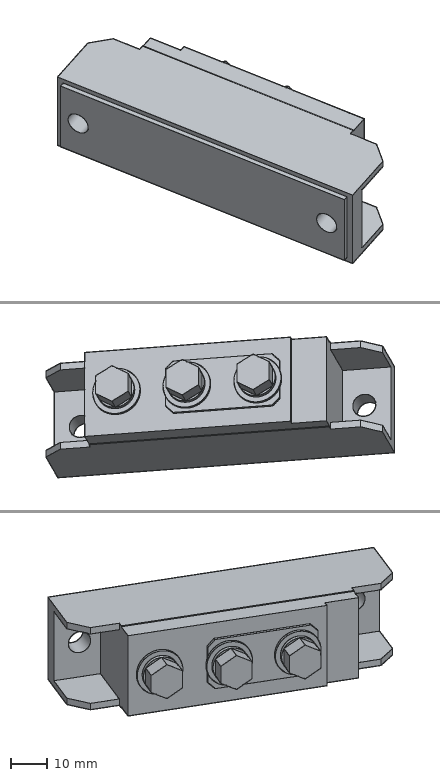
import cadquery as cq


base_length = 91.4
base_width = 22.6
base_thickness = 1.4

housing_length = 95
housing_width = 25.5
shoulder_y = 22.9
housing_top_y = 24.6
corner_chamfer = 5.1

lid_length = 67.8
lid_width = 24.9
lid_low_y = 28.7
lid_top_y = 30.4
lid_step_length = 9.8

slot_width = 21.5
slot_floor_y = 6.6
hole_spacing = 80.0
hole_diameter = 6.5

screw_pitch = hole_spacing / 4
middle_screw_x = 4.8
washer_diameter = 13.3
washer_thickness = 0.9
collar_diameter = 10.45
collar_thickness = 1.1
hex_across_corners = 10.5
hex_height = 4.75

terminal_length = 32.1
terminal_width = 15.2
terminal_thickness = 0.9
terminal_chamfer = 2.1
terminal_top_y = lid_top_y + terminal_thickness


def block(length, width, y_start, y_end, x_center=0):
    """Rectangular block centred on Z, spanning y_start to y_end."""
    height = y_end - y_start
    return cq.Workplane("XY").box(length, height, width).translate((x_center, y_start + height / 2, 0))


def plane_at(x, y):
    """Workplane facing +Y with its local X axis along Z, so hexagon corners point along Z."""
    return cq.Workplane(cq.Plane(origin=(x, y, 0), xDir=(0, 0, 1), normal=(0, 1, 0)))


def make_housing():
    """Shouldered housing with bevelled outer corners, on its base plate."""
    lower = block(housing_length, housing_width, base_thickness, shoulder_y)
    lower = lower.faces(">Y").edges("|Z").chamfer(corner_chamfer)
    upper = block(lid_length, housing_width, shoulder_y, housing_top_y)
    base = block(base_length, base_width, 0, base_thickness)
    return base.union(lower).union(upper)


def make_lid():
    """Lid with a lowered step at its -X end."""
    lid = block(lid_length, lid_width, housing_top_y, lid_top_y)
    step_x = -(lid_length - lid_step_length) / 2
    return lid.cut(block(lid_step_length, lid_width, lid_low_y, lid_top_y, step_x))


def cut_mounting_end(body, side):
    """Open a slot at one end (side is -1 or 1) and drill the hole through its floor."""
    slot_length = (housing_length - lid_length) / 2
    slot_x = side * (housing_length - slot_length) / 2
    slot = block(slot_length, slot_width, slot_floor_y, shoulder_y, slot_x)
    hole = plane_at(side * hole_spacing / 2, 0).circle(hole_diameter / 2).extrude(slot_floor_y)
    return body.cut(slot).cut(hole)


def make_terminal():
    """Thin plate with bevelled corners, centred between the first two screws."""
    terminal_x = middle_screw_x - screw_pitch / 2
    plate = block(terminal_length, terminal_width, lid_top_y, terminal_top_y, terminal_x)
    return plate.edges("|Y").chamfer(terminal_chamfer)


def make_screw(x, seat_y):
    """Flat washer, collar and hexagon head stacked on the seat."""
    collar_y = seat_y + washer_thickness
    head_y = collar_y + collar_thickness
    washer = plane_at(x, seat_y).circle(washer_diameter / 2).extrude(washer_thickness)
    collar = plane_at(x, collar_y).circle(collar_diameter / 2).extrude(collar_thickness)
    head = plane_at(x, head_y).polygon(6, hex_across_corners).extrude(hex_height)
    return washer.union(collar).union(head)


result = make_housing().union(make_lid())
for side in (-1, 1):
    result = cut_mounting_end(result, side)

result = result.union(make_terminal())
for offset, seat_y in ((-1, terminal_top_y), (0, terminal_top_y), (1, lid_top_y)):
    result = result.union(make_screw(middle_screw_x + offset * screw_pitch, seat_y))